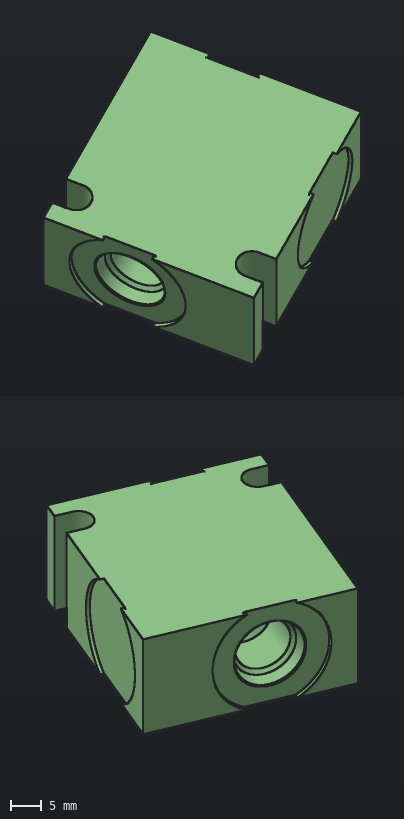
import cadquery as cq

WIDTH = 38.1
LENGTH = 41.4
HEIGHT = 19.05

PORT_X = 15.25
SPOTFACE_DIAMETER = 21.05
SPOTFACE_DEPTH = 0.85
BORE_DIAMETER = 6.4
PORT_DIAMETER = 9.8
SEAT_INNER_DIAMETER = 11.25
SEAT_OUTER_DIAMETER = 12.45
MOUTH_DIAMETER = 12.85
MOUTH_DEPTH = 0.2
SEAT_DEPTH = 2.4
LEAD_IN_DEPTH = SEAT_DEPTH + (SEAT_INNER_DIAMETER - PORT_DIAMETER) / 2
PORT_DEPTH = 11.18
CONE_DEPTH = PORT_DEPTH + 1.0

SIDE_SPOTFACE_Y = 27.45
SIDE_SPOTFACE_DEPTH = 0.7

SLOT_Y = 6.0
SLOT_WIDTH = 5.2
SLOT_DEPTH = 5.8


def make_port():
    """Spotface, stepped port and half of the through bore, from the Y = 0 face."""
    profile = [
        (0, 0),
        (SPOTFACE_DIAMETER / 2, 0),
        (SPOTFACE_DIAMETER / 2, SPOTFACE_DEPTH),
        (MOUTH_DIAMETER / 2, SPOTFACE_DEPTH),
        (SEAT_OUTER_DIAMETER / 2, SPOTFACE_DEPTH + MOUTH_DEPTH),
        (SEAT_INNER_DIAMETER / 2, SPOTFACE_DEPTH + SEAT_DEPTH),
        (PORT_DIAMETER / 2, SPOTFACE_DEPTH + LEAD_IN_DEPTH),
        (PORT_DIAMETER / 2, SPOTFACE_DEPTH + PORT_DEPTH),
        (BORE_DIAMETER / 2, SPOTFACE_DEPTH + CONE_DEPTH),
        (BORE_DIAMETER / 2, LENGTH / 2),
        (0, LENGTH / 2),
    ]
    port = cq.Workplane("XY").polyline(profile).close().revolve(360, (0, 0), (0, 1))
    return port.translate((PORT_X, 0, 0))


def make_side_spotface():
    """Shallow circular recess in the +X side."""
    return (
        cq.Workplane("YZ", origin=(WIDTH, 0, 0))
        .center(SIDE_SPOTFACE_Y, 0)
        .circle(SPOTFACE_DIAMETER / 2)
        .extrude(-SIDE_SPOTFACE_DEPTH)
    )


def make_slot(side_x):
    """Round-ended slot through the height, centred on one X side."""
    return (
        cq.Workplane("XY")
        .center(side_x, SLOT_Y)
        .slot2D(2 * SLOT_DEPTH, SLOT_WIDTH)
        .extrude(HEIGHT / 2, both=True)
    )


result = cq.Workplane("XY").box(WIDTH, LENGTH, HEIGHT, centered=(False, False, True))

front_port = make_port()
back_port = front_port.mirror("XZ", (0, LENGTH / 2, 0))
result = result.cut(front_port).cut(back_port)
result = result.cut(make_side_spotface())

for side_x in (0, WIDTH):
    result = result.cut(make_slot(side_x))